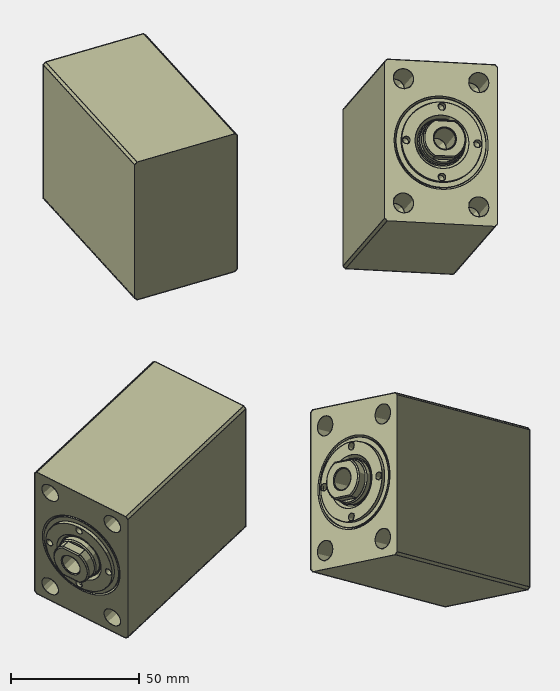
import cadquery as cq
import math


TOTAL_LENGTH = 85.0
ROD_PROJECTION = 7.0
HOUSING_LENGTH = TOTAL_LENGTH - ROD_PROJECTION
HOUSING_WIDTH = 45.0
HOUSING_HEIGHT = 65.0
HOUSING_EDGE_CHAMFER = 1.0

MOUNT_SPACING_Y = 30.0
MOUNT_SPACING_Z = 50.0
MOUNT_DIAMETER = 8.0
MOUNT_DEPTH = 17.0

GLAND_DIAMETER = 35.95
GLAND_DEPTH = 25.5
BORE_CHAMFER = 0.8
GLAND_BOSS_DIAMETER = 32.0
GLAND_BOSS_PROJECTION = 1.5
GLAND_MOUTH_DIAMETER = 21.4
GLAND_SEAT_DIAMETER = 19.0
PIN_HOLE_DIAMETER = 3.0
PIN_HOLE_DEPTH = 3.0
PIN_CIRCLE_DIAMETER = 28.4
PIN_HOLE_COUNT = 4

ROD_DIAMETER = 18.0
ROD_NECK_DIAMETER = 17.0
ROD_NECK_LENGTH = 4.0
ROD_FLAT_WIDTH = 15.0
ROD_TIP_CHAMFER = 0.5
ROD_HOLE_DIAMETER = 8.5
ROD_HOLE_DEPTH = 17.0
ROD_HOLE_CHAMFER = 0.3

DRILL_POINT_ANGLE = 118.0


def disc(x_start, x_end, diameter):
    """Cylinder on the X axis between two X positions."""
    return cq.Workplane("YZ", origin=(x_start, 0, 0)).circle(diameter / 2).extrude(x_end - x_start)


def cone(x_start, x_end, start_diameter, end_diameter):
    """Truncated cone on the X axis between two X positions."""
    outline = [(x_start, 0), (x_start, start_diameter / 2), (x_end, end_diameter / 2), (x_end, 0)]
    return cq.Workplane("XY").polyline(outline).close().revolve(360, (0, 0, 0), (1, 0, 0))


def drilled_hole(x_mouth, diameter, depth):
    """Blind hole along +X with a conical drill point."""
    radius = diameter / 2
    x_shoulder = x_mouth + depth
    x_point = x_shoulder + radius / math.tan(math.radians(DRILL_POINT_ANGLE / 2))
    outline = [(x_mouth, 0), (x_mouth, radius), (x_shoulder, radius), (x_point, 0)]
    return cq.Workplane("XY").polyline(outline).close().revolve(360, (0, 0, 0), (1, 0, 0))


def make_housing():
    housing = (
        cq.Workplane("YZ")
        .rect(HOUSING_WIDTH, HOUSING_HEIGHT)
        .extrude(HOUSING_LENGTH)
        .edges("|X")
        .chamfer(HOUSING_EDGE_CHAMFER)
    )

    housing = housing.cut(disc(0, GLAND_DEPTH, GLAND_DIAMETER))
    mouth_diameter = GLAND_DIAMETER + 2 * BORE_CHAMFER
    housing = housing.cut(cone(0, BORE_CHAMFER, mouth_diameter, GLAND_DIAMETER))

    mount_hole = drilled_hole(0, MOUNT_DIAMETER, MOUNT_DEPTH)
    for side_y in (-1, 1):
        for side_z in (-1, 1):
            position = (0, side_y * MOUNT_SPACING_Y / 2, side_z * MOUNT_SPACING_Z / 2)
            housing = housing.cut(mount_hole.translate(position))
    return housing


def make_gland():
    x_front = -GLAND_BOSS_PROJECTION
    gland = disc(0, GLAND_DEPTH, GLAND_DIAMETER)
    gland = gland.union(disc(x_front, 0, GLAND_BOSS_DIAMETER))

    cone_depth = (GLAND_MOUTH_DIAMETER - GLAND_SEAT_DIAMETER) / 2
    gland = gland.cut(disc(x_front, GLAND_DEPTH, ROD_DIAMETER))
    x_ledge = x_front + cone_depth
    gland = gland.cut(cone(x_front, x_ledge, GLAND_MOUTH_DIAMETER, GLAND_SEAT_DIAMETER))

    pin_hole = drilled_hole(x_front, PIN_HOLE_DIAMETER, PIN_HOLE_DEPTH)
    first_hole = pin_hole.translate((0, PIN_CIRCLE_DIAMETER / 2, 0))
    for index in range(PIN_HOLE_COUNT):
        angle = index * 360 / PIN_HOLE_COUNT
        gland = gland.cut(first_hole.rotate((0, 0, 0), (1, 0, 0), angle))
    return gland


def make_rod():
    x_tip = -ROD_PROJECTION
    x_shoulder = x_tip + ROD_NECK_LENGTH

    neck = disc(x_tip, x_shoulder, ROD_NECK_DIAMETER)
    flats = cq.Workplane("XY").box(2 * TOTAL_LENGTH, ROD_NECK_DIAMETER, ROD_FLAT_WIDTH)
    neck = neck.intersect(flats).faces("<X").chamfer(ROD_TIP_CHAMFER)

    shoulder_length = (ROD_DIAMETER - ROD_NECK_DIAMETER) / 2
    x_shaft = x_shoulder + shoulder_length
    shoulder = cone(x_shoulder, x_shaft, ROD_NECK_DIAMETER, ROD_DIAMETER)
    shaft = disc(x_shaft, GLAND_DEPTH, ROD_DIAMETER).union(shoulder)
    rod = shaft.union(neck)

    rod = rod.cut(drilled_hole(x_tip, ROD_HOLE_DIAMETER, ROD_HOLE_DEPTH))
    mouth_diameter = ROD_HOLE_DIAMETER + 2 * ROD_HOLE_CHAMFER
    rod = rod.cut(cone(x_tip, x_tip + ROD_HOLE_CHAMFER, mouth_diameter, ROD_HOLE_DIAMETER))
    return rod


housing = make_housing()
gland = make_gland()
rod = make_rod()

result = cq.Compound.makeCompound([housing.val(), gland.val(), rod.val()])